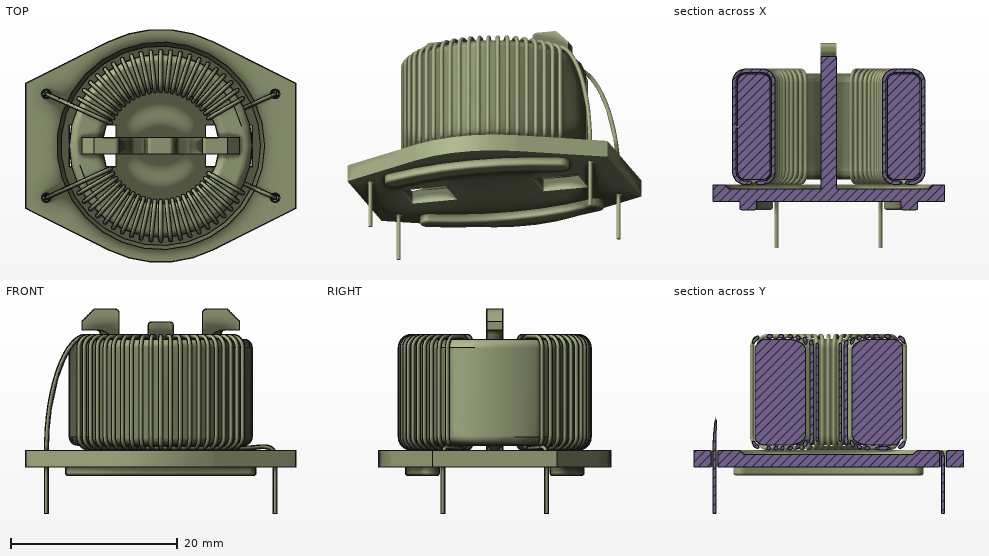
import cadquery as cq
import math


board_length = 32.5
board_corner_y = 7.5
board_round_radius = 14.0
board_thickness = 2.0
recess_top_radius = 12.48
recess_floor_radius = 12.0
recess_depth = recess_top_radius - recess_floor_radius
slot_inner_x = 5.4
slot_outer_x = 11.0
slot_width = 4.97
edge_radius = 0.3

foot_half_width = 1.05
foot_height = 1.0
foot_end_x = 10.4
foot_end_y = 7.7
foot_middle_y = 9.7

core_outer_radius = 22.0 / 2
core_inner_radius = 14.0 / 2
core_bottom = 0.62
core_top = 13.35
core_fillet = 1.0

wire_diameter = 0.5
wire_offset = 0.35
turn_pitch = 6.0
turns = 21
pin_x = 13.75
pin_y = 6.25
pin_length = 5.6
pin_hole_diameter = 0.8
pin_hole_chamfer = 0.15
drape_start_pull = 2.28
drape_end_pull = 8.12
hump_radius = 12.85
hump_height = 0.4
bond_diameter = 0.32

clip_width = 1.98
hook_top = 17.0
hook_bottom = 14.45
hook_outer_x = 9.5
hook_chamfer = 1.5
hook_fillet = 0.5
leg_inner_x = 5.0
leg_axis_x = 6.27
leg_cone_top = 0.68
leg_flare_radius = 26.0
leg_flare_x = 3.4
leg_root_fillet = 0.5
bridge_top = 0.2
tower_top = 15.45
tower_top_half_width = 1.5
tower_base_half_width = 1.98
tower_fillet = 0.4

wire_outer_radius = core_outer_radius + wire_offset
wire_inner_radius = core_inner_radius - wire_offset
wire_bottom = core_bottom - wire_offset
wire_top = core_top + wire_offset
bend_radius = core_fillet + wire_offset
winding_half_angle = turn_pitch * (turns - 1) / 2
lead_angle = math.degrees(math.atan2(pin_x, pin_y))
lead_radius = math.hypot(pin_x, pin_y)
pin_end = -board_thickness - pin_length


def make_board():
    """Plate with two round sides, a cone-edged recess, clip slots and pin holes."""
    half_length = board_length / 2
    corner_distance = math.hypot(half_length, board_corner_y)
    corner_angle = math.atan2(board_corner_y, half_length)
    tangent_angle = corner_angle + math.acos(board_round_radius / corner_distance)
    tangent_x = board_round_radius * math.cos(tangent_angle)
    tangent_y = board_round_radius * math.sin(tangent_angle)
    board = (
        cq.Workplane("XY")
        .moveTo(half_length, -board_corner_y)
        .lineTo(half_length, board_corner_y)
        .lineTo(tangent_x, tangent_y)
        .threePointArc((0, board_round_radius), (-tangent_x, tangent_y))
        .lineTo(-half_length, board_corner_y)
        .lineTo(-half_length, -board_corner_y)
        .lineTo(-tangent_x, -tangent_y)
        .threePointArc((0, -board_round_radius), (tangent_x, -tangent_y))
        .close()
        .extrude(-board_thickness)
    )
    recess = (
        cq.Workplane("XY")
        .circle(recess_top_radius)
        .workplane(offset=-recess_depth)
        .circle(recess_floor_radius)
        .loft()
    )
    slot_middle_x = (slot_inner_x + slot_outer_x) / 2
    slots = (
        cq.Workplane("XY")
        .pushPoints([(-slot_middle_x, 0), (slot_middle_x, 0)])
        .rect(slot_outer_x - slot_inner_x, slot_width)
        .extrude(-board_thickness)
    )
    return (
        board.cut(recess)
        .cut(slots)
        .faces(">Z")
        .workplane(origin=(0, 0, 0))
        .rect(2 * pin_x, 2 * pin_y, forConstruction=True)
        .vertices()
        .cskHole(pin_hole_diameter, pin_hole_diameter + 2 * pin_hole_chamfer, 90)
    )


def make_foot():
    """Curved bar with round ends under the +Y side of the board."""
    rise = foot_middle_y - foot_end_y
    arc_radius = (foot_end_x**2 + rise**2) / (2 * rise)
    lean_x = foot_end_x / arc_radius
    lean_y = 1 - rise / arc_radius

    def end_point(along, across):
        x = foot_end_x + foot_half_width * (along * lean_y + across * lean_x)
        y = foot_end_y + foot_half_width * (across * lean_y - along * lean_x)
        return x, y

    outer_x, outer_y = end_point(0, 1)
    inner_x, inner_y = end_point(0, -1)
    tip_x, tip_y = end_point(1, 0)
    return (
        cq.Workplane("XY", origin=(0, 0, -board_thickness))
        .moveTo(-outer_x, outer_y)
        .threePointArc((0, foot_middle_y + foot_half_width), (outer_x, outer_y))
        .threePointArc((tip_x, tip_y), (inner_x, inner_y))
        .threePointArc((0, foot_middle_y - foot_half_width), (-inner_x, inner_y))
        .threePointArc((-tip_x, tip_y), (-outer_x, outer_y))
        .close()
        .extrude(-foot_height)
        .faces("<Z")
        .edges()
        .fillet(edge_radius)
    )


def make_core():
    return (
        cq.Workplane("XY", origin=(0, 0, core_bottom))
        .circle(core_outer_radius)
        .circle(core_inner_radius)
        .extrude(core_top - core_bottom)
        .edges("%CIRCLE")
        .fillet(core_fillet)
    )


def winding_point(radius, angle, height):
    """Point at an angle in degrees from -Y toward +X around the core axis."""
    turn = math.radians(angle)
    return cq.Vector(radius * math.sin(turn), -radius * math.cos(turn), height)


def bend(angle, radius_sign, height_sign):
    """Start, middle and end of the wire bend at one corner of the core section."""
    if radius_sign > 0:
        centre_radius = wire_outer_radius - bend_radius
    else:
        centre_radius = wire_inner_radius + bend_radius
    if height_sign > 0:
        centre_height = wire_top - bend_radius
    else:
        centre_height = wire_bottom + bend_radius
    diagonal = bend_radius * math.sqrt(0.5)
    side = winding_point(centre_radius + radius_sign * bend_radius, angle, centre_height)
    middle = winding_point(
        centre_radius + radius_sign * diagonal, angle, centre_height + height_sign * diagonal
    )
    level = winding_point(centre_radius, angle, centre_height + height_sign * bend_radius)
    return side, middle, level


def inner_strand(angle):
    """Wire up the bore with the bends at both ends."""
    low_side, low_middle, low_level = bend(angle, -1, -1)
    high_side, high_middle, high_level = bend(angle, -1, 1)
    return [
        cq.Edge.makeThreePointArc(low_level, low_middle, low_side),
        cq.Edge.makeLine(low_side, high_side),
        cq.Edge.makeThreePointArc(high_side, high_middle, high_level),
    ]


def outer_strand(angle):
    """Wire out over the top of the core and down its side to the level below it."""
    high_side, high_middle, high_level = bend(angle, 1, 1)
    low_side, low_middle, low_level = bend(angle, 1, -1)
    return [
        cq.Edge.makeLine(bend(angle, -1, 1)[2], high_level),
        cq.Edge.makeThreePointArc(high_level, high_middle, high_side),
        cq.Edge.makeLine(high_side, low_side),
        cq.Edge.makeThreePointArc(low_side, low_middle, low_level),
    ]


def under_strand(outer_angle, inner_angle):
    """Wire in below the core, moving on to the next turn."""
    start = bend(outer_angle, 1, -1)[2]
    end = bend(inner_angle, -1, -1)[2]
    tangents = [winding_point(-1, outer_angle, 0), winding_point(-1, inner_angle, 0)]
    return [cq.Edge.makeSpline([start, end], tangents=tangents)]


def make_winding():
    """Winding on the -Y half, from the pin at +X to the pin at -X, as one swept wire."""
    up = cq.Vector(0, 0, 1)

    start_pin_end = winding_point(lead_radius, lead_angle, pin_end)
    start_pin_top = winding_point(lead_radius, lead_angle, -board_thickness / 2)
    hump = winding_point(hump_radius, lead_angle, hump_height)
    lead_in = bend(lead_angle, 1, -1)[2]
    inward = winding_point(-1, lead_angle, 0)
    path = [
        cq.Edge.makeLine(start_pin_end, start_pin_top),
        cq.Edge.makeSpline([start_pin_top, hump, lead_in], tangents=[up, inward]),
    ]

    previous_angle = lead_angle
    for turn in range(turns):
        angle = winding_half_angle - turn * turn_pitch
        path += under_strand(previous_angle, angle)
        path += inner_strand(angle)
        path += outer_strand(angle)
        previous_angle = angle
    path += under_strand(previous_angle, -lead_angle)
    path += inner_strand(-lead_angle)

    lead_out = bend(-lead_angle, 1, 1)[2]
    end_pin_top = winding_point(lead_radius, -lead_angle, 0)
    end_pin_end = winding_point(lead_radius, -lead_angle, pin_end)
    drape_start = lead_out + winding_point(drape_start_pull, -lead_angle, 0)
    drape_end = end_pin_top + cq.Vector(0, 0, drape_end_pull)
    path += [
        cq.Edge.makeLine(bend(-lead_angle, -1, 1)[2], lead_out),
        cq.Edge.makeBezier([lead_out, drape_start, drape_end, end_pin_top]),
        cq.Edge.makeLine(end_pin_top, end_pin_end),
    ]

    wire = (
        cq.Workplane("XY", origin=start_pin_end.toTuple())
        .circle(wire_diameter / 2)
        .sweep(cq.Workplane(cq.Wire.assembleEdges(path)))
    )
    bond = (
        cq.Workplane("XZ", origin=(0, -core_outer_radius + wire_offset, (core_bottom + core_top) / 2))
        .circle(bond_diameter / 2)
        .extrude(2 * wire_offset)
    )
    return wire.union(bond)


def make_clip_leg():
    """Hooked leg at -X with a round outer side that flares out below the hook."""
    half_width = clip_width / 2
    flare_radius = half_width + hook_fillet
    fillet_middle = hook_fillet * (1 - math.sqrt(0.5))
    hook = (
        cq.Workplane("XZ", origin=(0, half_width, 0))
        .moveTo(-leg_inner_x, hook_bottom)
        .lineTo(-leg_inner_x, hook_top)
        .lineTo(-hook_outer_x + hook_chamfer, hook_top)
        .lineTo(-hook_outer_x, hook_top - hook_chamfer)
        .lineTo(-hook_outer_x, hook_bottom)
        .close()
        .extrude(clip_width)
        .edges(">X and >Z")
        .fillet(hook_fillet)
    )
    stem = (
        cq.Workplane("XZ", origin=(0, half_width, 0))
        .moveTo(-leg_inner_x, -recess_depth)
        .lineTo(-leg_inner_x, hook_bottom)
        .lineTo(-leg_axis_x, hook_bottom)
        .lineTo(-leg_axis_x, -recess_depth)
        .close()
        .extrude(clip_width)
    )
    round_side = (
        cq.Workplane("XZ", origin=(-leg_axis_x, 0, 0))
        .moveTo(0, leg_cone_top - half_width)
        .lineTo(half_width, leg_cone_top)
        .lineTo(half_width, hook_bottom - hook_fillet)
        .threePointArc(
            (half_width + fillet_middle, hook_bottom - fillet_middle), (flare_radius, hook_bottom)
        )
        .lineTo(0, hook_bottom)
        .close()
        .revolve(360, (0, 0), (0, 1))
    )
    outer_side = cq.Workplane("XY", origin=(-leg_axis_x - flare_radius, 0, 0)).box(
        2 * flare_radius, clip_width, 2 * hook_top
    )
    return hook.union(stem).union(round_side.intersect(outer_side))


def make_clip():
    """Two hooked legs and a tapered centre tower, flowing into a common bridge."""
    flare_run = leg_inner_x - leg_flare_x
    flare_angle = math.acos(1 - flare_run / leg_flare_radius)
    flare_top = bridge_top + leg_flare_radius * math.sin(flare_angle)
    middle_x = leg_inner_x - leg_flare_radius * (1 - math.cos(flare_angle / 2))
    middle_z = flare_top - leg_flare_radius * math.sin(flare_angle / 2)
    floor = -recess_depth
    body = (
        cq.Workplane("XZ", origin=(0, clip_width / 2, 0))
        .moveTo(-leg_inner_x, floor)
        .lineTo(-leg_inner_x, flare_top)
        .threePointArc((-middle_x, middle_z), (-leg_flare_x, bridge_top))
        .lineTo(-tower_base_half_width, bridge_top)
        .lineTo(-tower_top_half_width, tower_top)
        .lineTo(tower_top_half_width, tower_top)
        .lineTo(tower_base_half_width, bridge_top)
        .lineTo(leg_flare_x, bridge_top)
        .threePointArc((middle_x, middle_z), (leg_inner_x, flare_top))
        .lineTo(leg_inner_x, floor)
        .close()
        .extrude(clip_width)
    )

    def edge_pair(x, z):
        """Edges along Y at +x and -x on a level z."""
        reach = 0.03
        right = cq.selectors.BoxSelector((x - reach, -reach, z - reach), (x + reach, reach, z + reach))
        left = cq.selectors.BoxSelector((-x - reach, -reach, z - reach), (reach - x, reach, z + reach))
        return right + left

    body = body.edges(edge_pair(leg_flare_x, bridge_top)).fillet(leg_root_fillet)
    body = body.edges(edge_pair(tower_base_half_width, bridge_top)).fillet(tower_fillet)
    body = body.edges(edge_pair(tower_top_half_width, tower_top)).fillet(tower_fillet)
    leg = make_clip_leg()
    return body.union(leg).union(leg.mirror("YZ"))


foot = make_foot()
winding = make_winding()
result = (
    make_board()
    .union(foot)
    .union(foot.mirror("XZ"))
    .union(make_clip())
    .union(make_core())
    .union(winding)
    .union(winding.mirror("XZ"))
)